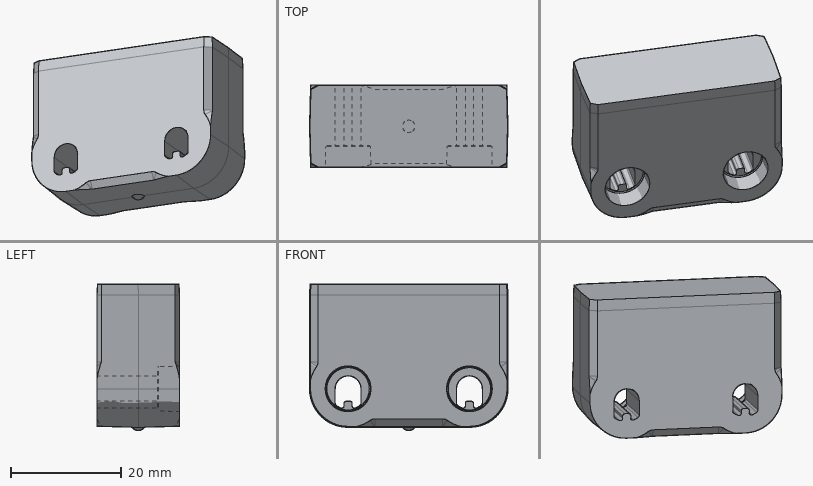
import cadquery as cq
import math

width = 36.0
depth = 15.0
height = 26.0
half_depth = depth / 2
side_draft = 1.5
cap_height = 2.0
cap_draft = 3.0
shoulder_z = height - cap_height

corner_radius = 7.0
hole_x = width / 2 - corner_radius
hole_z = corner_radius
bore_radius = 4.15
bore_depth = 4.0
bore_draft = 1.5
bore_floor_chamfer = 0.2

slot_radius = 2.325
slot_floor_radius = 3.7
tab_width = 1.5
tab_top_drop = 2.25
tab_fillet = 0.4
slot_corner_fillet = 0.5

boss_radius = 7.0
bevel_line = 5.45
bevel_slope = math.tan(math.radians(60))
bevel_blend = 1.5
bevel_reach = 0.85
tool_margin = 0.5

bump_radius = 1.1
bump_height = 0.58


def make_shell():
    """Block up to the shoulder, drafted from y = 0 towards both faces, with round lower corners."""
    edge = width / 2
    arc_offset = corner_radius * math.sqrt(0.5)
    front_half = (
        cq.Workplane("XZ")
        .moveTo(-hole_x, 0)
        .lineTo(hole_x, 0)
        .threePointArc((hole_x + arc_offset, hole_z - arc_offset), (edge, hole_z))
        .lineTo(edge, height)
        .lineTo(-edge, height)
        .lineTo(-edge, hole_z)
        .threePointArc((-hole_x - arc_offset, hole_z - arc_offset), (-hole_x, 0))
        .close()
        .extrude(half_depth, taper=side_draft)
    )
    block = front_half.union(front_half.mirror("XZ"))
    below_shoulder = cq.Workplane("XY").box(2 * width, 2 * depth, shoulder_z, centered=(True, True, False))
    return block.intersect(below_shoulder)


def face_cone(u, v, face_radius, slope):
    """Cone along the depth, with the given radius on the face and radius change per unit depth."""
    outer = face_radius - slope * tool_margin
    inner = face_radius + slope * bevel_reach
    return (
        cq.Workplane("XY")
        .polyline([(0, -tool_margin), (outer, -tool_margin), (inner, bevel_reach), (0, bevel_reach)])
        .close()
        .revolve(360, (0, 0, 0), (0, 1, 0))
        .translate((u, 0, v))
    )


def bevel_tool(length):
    """Bevel cutter beside one hole.

    The hole axis is at the origin, the bevelled edge lies towards +X and runs towards +Z,
    and depth into the part runs along +Y from the face at y = 0.
    """
    start_u = bevel_line - bevel_slope * tool_margin
    end_u = bevel_line + bevel_slope * bevel_reach
    far_u = corner_radius + tool_margin
    wedge = (
        cq.Workplane("XY")
        .moveTo(start_u, -tool_margin)
        .lineTo(far_u, -tool_margin)
        .lineTo(far_u, bevel_reach)
        .lineTo(end_u, bevel_reach)
        .close()
        .extrude(length)
    )
    blend_u = bevel_line + bevel_blend
    blend_v = math.sqrt((boss_radius + bevel_blend) ** 2 - blend_u ** 2)
    web = (
        cq.Workplane("XZ", origin=(0, -tool_margin, 0))
        .polyline([(0, 0), (blend_u, blend_v), (0, blend_v)])
        .close()
        .extrude(-bevel_reach - tool_margin)
        .cut(face_cone(blend_u, blend_v, bevel_blend, -bevel_slope))
    )
    return wedge.cut(face_cone(0, 0, boss_radius, bevel_slope)).cut(web)


def cut_bevels(body):
    """Bevel the sides and the bottom middle on both the front and back faces."""
    side = bevel_tool(height - hole_z).translate((hole_x, -half_depth, hole_z))
    bottom = (
        bevel_tool(hole_x)
        .rotate((0, 0, 0), (0, 1, 0), 90)
        .translate((-hole_x, -half_depth, hole_z))
    )
    for tool in (side, bottom):
        for front_tool in (tool, tool.mirror("YZ")):
            body = body.cut(front_tool).cut(front_tool.mirror("XZ"))
    return body


def add_cap(body):
    """Top band that follows the shoulder outline with its own draft."""
    cap = body.faces(">Z").wires().toPending().workplane().extrude(cap_height, taper=cap_draft, combine=False)
    return body.union(cap)


def keyed_slot():
    """Through slot about the Y axis: round top, floor on a circle, and a tab standing in the middle."""
    slot = (
        cq.Workplane("XZ", origin=(0, half_depth, 0))
        .moveTo(-slot_radius, -bore_radius)
        .lineTo(slot_radius, -bore_radius)
        .lineTo(slot_radius, 0)
        .threePointArc((0, slot_radius), (-slot_radius, 0))
        .close()
        .extrude(depth)
    )
    floor_limit = cq.Workplane("XZ", origin=(0, half_depth, 0)).circle(slot_floor_radius).extrude(depth)
    tab_height = bore_radius - tab_top_drop
    tab = (
        cq.Workplane("XZ", origin=(0, half_depth, 0))
        .center(0, -tab_top_drop - tab_height / 2)
        .rect(tab_width, tab_height)
        .extrude(depth)
    )
    tab_corners = cq.selectors.BoxSelector(
        (-tab_width, -depth, -slot_floor_radius - tab_fillet),
        (tab_width, depth, -tab_top_drop + tab_fillet),
    )
    keyed = slot.intersect(floor_limit)
    keyed = keyed.edges("|Y").edges("<X or >X").edges("<Z").fillet(slot_corner_fillet)
    return keyed.cut(tab).edges("|Y").edges(tab_corners).fillet(tab_fillet)


def screw_hole():
    """Front bore with a chamfered floor edge, opening into the keyed slot."""
    bore = (
        cq.Workplane("XZ", origin=(0, -half_depth, 0))
        .circle(bore_radius)
        .extrude(-bore_depth, taper=bore_draft)
        .faces(">Y")
        .edges()
        .chamfer(bore_floor_chamfer)
    )
    return bore.union(keyed_slot())


def add_bump(body):
    """Spherical bump at the middle of the underside."""
    sphere_radius = (bump_radius ** 2 + bump_height ** 2) / (2 * bump_height)
    bump = cq.Workplane("XY").sphere(sphere_radius).translate((0, 0, sphere_radius - bump_height))
    return body.union(bump)


result = add_cap(cut_bevels(make_shell()))
for x in (-hole_x, hole_x):
    result = result.cut(screw_hole().translate((x, 0, hole_z)))
result = add_bump(result)